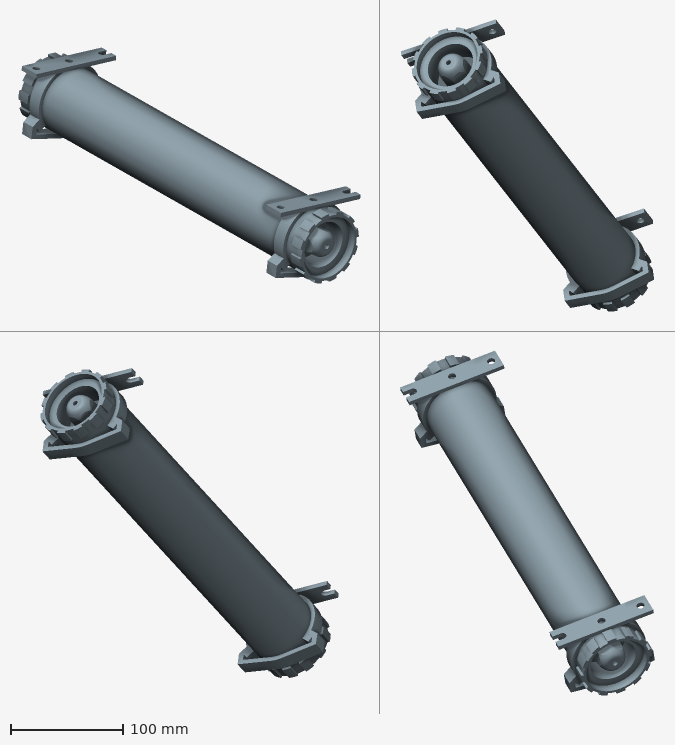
import cadquery as cq
import math

total_length = 397.0
tube_radius = 31.8
tube_wall = 4.0
tube_bore_radius = tube_radius - tube_wall

cap_rim_length = 12.7
cap_rim_radius = tube_radius
cap_rim_bore_radius = 29.5
cap_rim_bore_depth = 8.0
cap_bore_radius = 22.0
cap_bore_depth = 31.8
cap_floor_thickness = 4.0
cap_length = cap_bore_depth + cap_floor_thickness
lug_count = 12
lug_height = 2.5
lug_pitch = 360.0 / lug_count
lug_angle = lug_pitch / 2

gland_across_flats = 24.0
gland_tip_radius = 6.5
gland_dome_length = 14.3
gland_tip_depth = 3.0
cable_hole_radius = 2.5
gland_corner_radius = gland_across_flats / math.sqrt(3)

clamp_positions = [-174.3, 170.7]
clamp_tilt = math.radians(7.3)
strap_width = 13.0
strap_outer_radius = 35.7
plate_length = 92.5
plate_width = 20.5
plate_thickness = 4.5
mount_hole_diameter = 7.0
mount_hole_offset = 38.0
ear_angle = math.radians(38)
ear_lower_offset = 0.5
ear_upper_offset = 5.0
ear_tip_distance = 40.5
clasp_hook_offset = 11.0
clasp_half_width = 41.0
clasp_bottom_radius = 36.0
clasp_side_inner = 35.7
clasp_corner_height = -29.8

tube_length = total_length - 2 * cap_rim_length


def x_cylinder(radius, start, end):
    """Cylinder on the X axis between two X positions."""
    return cq.Workplane("YZ", origin=(start, 0, 0)).circle(radius).extrude(end - start)


def make_tube():
    half = tube_length / 2
    return x_cylinder(tube_radius, -half, half).cut(x_cylinder(tube_bore_radius, -half, half))


def at_other_end(body):
    """Copy of a left-end body turned half a revolution about Y."""
    return body.rotate((0, 0, 0), (0, 1, 0), 180)


def make_lug_ring(end):
    """Ring sectors standing on the cap rim; angles run from -Y towards +Z."""
    outer = cap_rim_radius + lug_height
    reach = 2 * outer
    ring = x_cylinder(outer, end, end + cap_rim_length)
    sectors = cq.Workplane("YZ", origin=(end, 0, 0))
    for i in range(lug_count):
        first = math.radians(i * lug_pitch)
        last = math.radians(i * lug_pitch + lug_angle)
        sectors = (
            sectors.moveTo(0, 0)
            .lineTo(-reach * math.cos(first), reach * math.sin(first))
            .lineTo(-reach * math.cos(last), reach * math.sin(last))
            .close()
        )
    return ring.intersect(sectors.extrude(cap_rim_length))


def make_cap():
    """Left cap: lugged rim outside the tube, stepped cup plugged into its bore."""
    end = -total_length / 2
    rim = x_cylinder(cap_rim_radius, end, end + cap_rim_length)
    plug = x_cylinder(tube_bore_radius, end, end + cap_length)
    cap = rim.union(plug).union(make_lug_ring(end))
    cap = cap.cut(x_cylinder(cap_rim_bore_radius, end, end + cap_rim_bore_depth))
    cap = cap.cut(x_cylinder(cap_bore_radius, end, end + cap_bore_depth))
    return cap.cut(x_cylinder(cable_hole_radius, end, end + cap_length))


def make_gland():
    """Left gland: hexagonal body with a domed nose, standing on the cap floor."""
    end = -total_length / 2
    tip = end + gland_tip_depth
    shoulder = tip + gland_dome_length
    floor = end + cap_bore_depth
    hexagon = (
        cq.Workplane("YZ", origin=(tip, 0, 0))
        .transformed(rotate=(0, 0, 90))
        .polygon(6, 2 * gland_corner_radius)
        .extrude(floor - tip)
    )
    dome_rise = gland_corner_radius - gland_tip_radius
    envelope = (
        cq.Workplane("XY")
        .moveTo(tip, 0)
        .lineTo(tip, gland_tip_radius)
        .ellipseArc(gland_dome_length, dome_rise, 90, 180, sense=-1)
        .lineTo(floor, gland_corner_radius)
        .lineTo(floor, 0)
        .close()
        .revolve(360, (0, 0, 0), (1, 0, 0))
    )
    return hexagon.intersect(envelope).cut(x_cylinder(cable_hole_radius, tip, floor))


def clamp_plane(x):
    """Sketch plane across the tube, tilted with the clamp: local x towards -Y, local y up."""
    side = (0, -math.cos(clamp_tilt), math.sin(clamp_tilt))
    return cq.Workplane(cq.Plane(origin=(x, 0, 0), xDir=side, normal=(-1, 0, 0)))


def ear_point(distance, offset):
    """Point along the right ear: distance out from the axis, offset square to the ear, upwards."""
    return (
        distance * math.cos(ear_angle) + offset * math.sin(ear_angle),
        -distance * math.sin(ear_angle) + offset * math.cos(ear_angle),
    )


def ear_point_on_circle(radius, offset):
    return ear_point(math.sqrt(radius**2 - offset**2), offset)


def ear_point_at_width(width, offset):
    """Point on a line parallel to the ear where it reaches a given local x."""
    distance = (width - offset * math.sin(ear_angle)) / math.cos(ear_angle)
    return ear_point(distance, offset)


def mirrored(point):
    return (-point[0], point[1])


def make_bracket(x):
    """Mounting plate, open ring under it and the two ears at the ring's ends."""
    outer_end = ear_point_on_circle(strap_outer_radius, ear_upper_offset)
    inner_end = ear_point_on_circle(tube_radius, ear_lower_offset)
    ear_top = ear_point(ear_tip_distance, ear_upper_offset)
    ear_bottom = ear_point(ear_tip_distance, ear_lower_offset)
    ring = (
        clamp_plane(x)
        .moveTo(*outer_end)
        .threePointArc((0, strap_outer_radius), mirrored(outer_end))
        .lineTo(*mirrored(ear_top))
        .lineTo(*mirrored(ear_bottom))
        .lineTo(*mirrored(inner_end))
        .threePointArc((0, tube_radius), inner_end)
        .lineTo(*ear_bottom)
        .lineTo(*ear_top)
        .close()
        .extrude(strap_width / 2, both=True)
    )
    plate = (
        clamp_plane(x)
        .center(0, tube_radius + plate_thickness / 2)
        .rect(plate_length, plate_thickness)
        .extrude(plate_width / 2, both=True)
    )
    return ring.union(plate).cut(make_mount_holes(x))


def make_mount_holes(x):
    """Two round holes and an open slot at the +Y end, all square to the plate."""
    up = (0, math.sin(clamp_tilt), math.cos(clamp_tilt))
    top = cq.Workplane(cq.Plane(origin=(x, 0, 0), xDir=(1, 0, 0), normal=up))
    top = top.workplane(offset=tube_radius)
    holes = (
        top.pushPoints([(0, -mount_hole_offset), (0, 0), (0, mount_hole_offset)])
        .circle(mount_hole_diameter / 2)
        .extrude(plate_thickness)
    )
    slot_length = plate_length / 2 - mount_hole_offset
    slot = (
        top.center(0, mount_hole_offset + slot_length / 2)
        .rect(mount_hole_diameter, slot_length)
        .extrude(plate_thickness)
    )
    return holes.union(slot)


def make_clasp(x):
    """Bar under the tube whose upturned ends hook over the bracket's ears."""
    corner_distance = math.hypot(clasp_half_width, clasp_corner_height)
    corner_angle = math.atan2(-clasp_corner_height, clasp_half_width)
    tangent_angle = corner_angle + math.acos(clasp_bottom_radius / corner_distance)
    tangent = (math.cos(tangent_angle), -math.sin(tangent_angle))
    outer_touch = (clasp_bottom_radius * tangent[0], clasp_bottom_radius * tangent[1])
    inner_touch = (tube_radius * tangent[0], tube_radius * tangent[1])
    inner_corner = (clasp_side_inner, (tube_radius - clasp_side_inner * tangent[0]) / tangent[1])

    hook_outer = ear_point_on_circle(strap_outer_radius, clasp_hook_offset)
    hook_inner = ear_point_on_circle(strap_outer_radius, ear_upper_offset)
    hook_middle = ear_point_on_circle(strap_outer_radius, (clasp_hook_offset + ear_upper_offset) / 2)
    shoulder = ear_point_at_width(clasp_half_width, clasp_hook_offset)
    corner = (clasp_half_width, clasp_corner_height)
    inner_shoulder = ear_point_at_width(clasp_side_inner, ear_upper_offset)
    return (
        clamp_plane(x)
        .moveTo(*hook_outer)
        .lineTo(*shoulder)
        .lineTo(*corner)
        .lineTo(*outer_touch)
        .threePointArc((0, -clasp_bottom_radius), mirrored(outer_touch))
        .lineTo(*mirrored(corner))
        .lineTo(*mirrored(shoulder))
        .lineTo(*mirrored(hook_outer))
        .threePointArc(mirrored(hook_middle), mirrored(hook_inner))
        .lineTo(*mirrored(inner_shoulder))
        .lineTo(*mirrored(inner_corner))
        .lineTo(*mirrored(inner_touch))
        .threePointArc((0, -tube_radius), inner_touch)
        .lineTo(*inner_corner)
        .lineTo(*inner_shoulder)
        .lineTo(*hook_inner)
        .threePointArc(hook_middle, hook_outer)
        .close()
        .extrude(strap_width / 2, both=True)
    )


tube = make_tube()
cap = make_cap()
gland = make_gland()
caps = [cap, at_other_end(cap)]
glands = [gland, at_other_end(gland)]
brackets = [make_bracket(x) for x in clamp_positions]
clasps = [make_clasp(x) for x in clamp_positions]

bodies = [tube, *caps, *glands, *brackets, *clasps]
result = cq.Compound.makeCompound([body.val() for body in bodies])